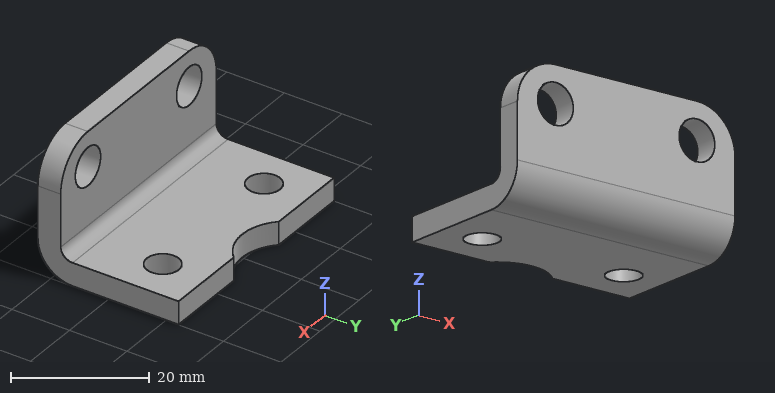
import cadquery as cq

width = 40.0
depth = 24.5
height = 22.0

thickness = 4.0
inner_bend_radius = 2.0
outer_bend_radius = inner_bend_radius + thickness

corner_radius = 7.0
hole_spacing = width - 2 * corner_radius
upright_hole_diameter = 6.5
upright_hole_height = 16.0

base_hole_diameter = 5.5
base_hole_from_front = 17.0
notch_radius = 8.0
notch_floor_from_front = 22.0
notch_center_from_front = notch_floor_from_front + notch_radius


def bent_sheet():
    """L-shaped sheet, upright at the front, centred on X."""
    base = cq.Workplane("XY").box(width, depth, thickness, centered=(True, False, False))
    upright = cq.Workplane("XY").box(width, thickness, height, centered=(True, False, False))
    sheet = base.union(upright)
    inner_edge = cq.selectors.NearestToPointSelector((0, thickness, thickness))
    outer_edge = cq.selectors.NearestToPointSelector((0, 0, 0))
    sheet = sheet.edges("|X").edges(inner_edge).fillet(inner_bend_radius)
    return sheet.edges("|X").edges(outer_edge).fillet(outer_bend_radius)


def hole_pair(plane, diameter, offset, length):
    """Two cylinders mirrored about the centre of the width."""
    centers = [(side * hole_spacing / 2, offset) for side in (-1, 1)]
    return cq.Workplane(plane).pushPoints(centers).circle(diameter / 2).extrude(length)


bracket = bent_sheet()

bracket = bracket.edges("|Y and >Z").fillet(corner_radius)

bracket = bracket.cut(hole_pair("XZ", upright_hole_diameter, upright_hole_height, -thickness))
bracket = bracket.cut(hole_pair("XY", base_hole_diameter, base_hole_from_front, thickness))

notch = (
    cq.Workplane("XY")
    .center(0, notch_center_from_front)
    .circle(notch_radius)
    .extrude(thickness)
)
result = bracket.cut(notch)